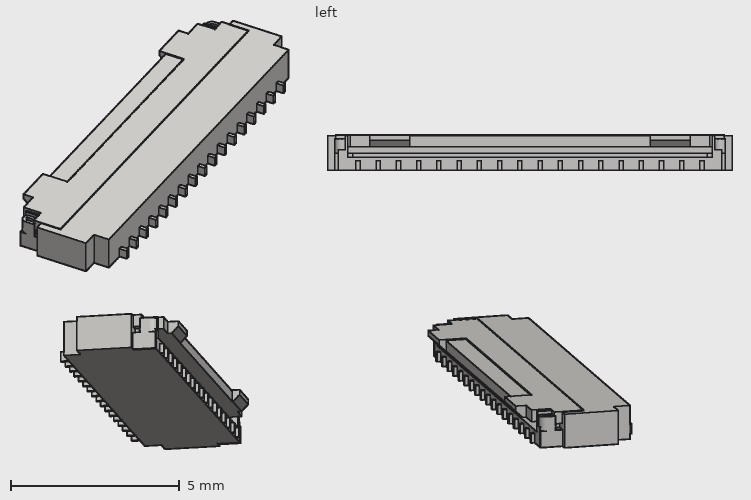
import cadquery as cq
import math


LENGTH = 12.0
HOUSING_FRONT = 0.47
EAR_FRONT = 1.15
EAR_REAR = 2.81
HOUSING_REAR = 3.31
HOUSING_TOP = 1.03
REAR_LENGTH = 11.02
FRONT_LENGTH = 11.59

FLAP_TOP = 1.05
FLAP_BOTTOM = 0.7
FLAP_LENGTH = 11.52
FLAP_SHOULDER = 0.9
FLAP_REAR = 1.81
FLAP_NOSE_FRONT = 0.32
FLAP_NOSE_LENGTH = 10.65
TAB_OUTER = 4.75
TAB_INNER = 3.56
TAB_BEVEL = 0.2
FINGER_FRONT = 0.22
FINGER_REAR = 0.83
FINGER_FLOOR = 1.02

MOUTH_FLOOR = 0.4
MOUTH_LENGTH = 10.8
THROAT_TOP = 0.5
THROAT_LENGTH = 10.51
SLOT_FRONT_DEPTH = 0.24
THROAT_DEPTH = 1.2

PITCH = 0.6
REAR_CONTACTS = 17
FRONT_CONTACTS = REAR_CONTACTS + 1
CONTACT_WIDTH = 0.12
CONTACT_HEIGHT = 0.29
CONTACT_FRONT = 0.36
CONTACT_REAR = 3.55

SHEET = 0.11
HOOK_WIDTH = 3 * SHEET
HOOK_TOP = 0.94
HOOK_BOTTOM = 0.61
OUTER_BEND = 0.18
INSIDE_BEND = OUTER_BEND - SHEET
PLATE_TOP = 0.5
OUTER_LEG_REAR = 0.94
INNER_LEG_REAR = 1.01
FITTING_OUTER = FRONT_LENGTH / 2
FITTING_INNER = FITTING_OUTER - HOOK_WIDTH


def block(x0, x1, y0, y1, z0, z1):
    """Box between two opposite corners."""
    return cq.Workplane("XY").box(x1 - x0, y1 - y0, z1 - z0, centered=False).translate((x0, y0, z0))


def centred_block(x0, x1, length, z0, z1):
    """Box that is symmetric about the middle of the connector."""
    return block(x0, x1, -length / 2, length / 2, z0, z1)


def make_shell():
    """Stepped housing block, wide ears in the middle and narrower at both ends of X."""
    front = centred_block(HOUSING_FRONT, EAR_FRONT, FRONT_LENGTH, 0, HOUSING_TOP)
    ears = centred_block(EAR_FRONT, EAR_REAR, LENGTH, 0, HOUSING_TOP)
    rear = centred_block(EAR_REAR, HOUSING_REAR, REAR_LENGTH, 0, HOUSING_TOP)
    return front.union(ears).union(rear)


def make_cable_opening():
    """Wide mouth under the flap, running back into a low slot that narrows to the throat."""
    mouth = centred_block(HOUSING_FRONT, EAR_FRONT, MOUTH_LENGTH, MOUTH_FLOOR, HOUSING_TOP)
    slot_front = centred_block(
        EAR_FRONT, EAR_FRONT + SLOT_FRONT_DEPTH, MOUTH_LENGTH, MOUTH_FLOOR, THROAT_TOP
    )
    throat = centred_block(
        EAR_FRONT, EAR_FRONT + THROAT_DEPTH, THROAT_LENGTH, MOUTH_FLOOR, THROAT_TOP
    )
    return mouth.union(slot_front).union(throat)


def make_corner_pocket():
    """Room around the fitting hook, and the side notch behind it, at the +Y end."""
    above_shelf = block(
        HOUSING_FRONT, INNER_LEG_REAR, FITTING_INNER, FITTING_OUTER, HOOK_BOTTOM, HOUSING_TOP
    )
    notch = block(OUTER_LEG_REAR, EAR_FRONT, FITTING_INNER, FITTING_OUTER, PLATE_TOP, HOUSING_TOP)
    side = block(
        HOUSING_FRONT, EAR_FRONT, FITTING_OUTER - SHEET, FITTING_OUTER, PLATE_TOP, HOUSING_TOP
    )
    return above_shelf.union(notch).union(side)


def make_grip_tab():
    """Front grip tab at the +Y end, bevelled underneath."""
    tab = block(0, FLAP_SHOULDER, TAB_INNER, TAB_OUTER, FLAP_BOTTOM, FLAP_TOP)
    return tab.faces("<X").edges("<Z").chamfer(TAB_BEVEL)


def make_flap():
    """Closed cover flap with a shallow finger recess between its two grip tabs."""
    body = centred_block(FLAP_SHOULDER, FLAP_REAR, FLAP_LENGTH, FLAP_BOTTOM, FLAP_TOP)
    nose = centred_block(FLAP_NOSE_FRONT, FLAP_SHOULDER, FLAP_NOSE_LENGTH, FLAP_BOTTOM, FLAP_TOP)
    lip = centred_block(FINGER_FRONT, FLAP_NOSE_FRONT, 2 * TAB_INNER, FLAP_BOTTOM, FLAP_TOP)
    tab = make_grip_tab()
    finger_recess = centred_block(
        FINGER_FRONT, FINGER_REAR, 2 * TAB_INNER, FINGER_FLOOR, FLAP_TOP
    )
    flap = body.union(nose).union(lip).cut(finger_recess)
    return flap.union(tab).union(tab.mirror("XZ"))


def add_contact_row(body, count, x0, x1):
    """Adds a row of contact feet that spans x0 to x1."""
    for index in range(count):
        y = (index - (count - 1) / 2) * PITCH
        foot = block(x0, x1, y - CONTACT_WIDTH / 2, y + CONTACT_WIDTH / 2, 0, CONTACT_HEIGHT)
        body = body.union(foot)
    return body


def make_hook():
    """U-shaped hook, open towards the rear, whose round front is cut off at the inner leg."""
    bend_x = HOUSING_FRONT + OUTER_BEND
    bend_y = FITTING_OUTER - OUTER_BEND
    inner_corner_x = bend_x - math.sqrt(OUTER_BEND**2 - (bend_y - FITTING_INNER) ** 2)
    outline = (
        cq.Workplane("XY", origin=(0, 0, PLATE_TOP))
        .moveTo(INNER_LEG_REAR, FITTING_OUTER)
        .lineTo(bend_x, FITTING_OUTER)
        .threePointArc((HOUSING_FRONT, bend_y), (inner_corner_x, FITTING_INNER))
        .lineTo(INNER_LEG_REAR, FITTING_INNER)
        .close()
        .extrude(HOOK_TOP - PLATE_TOP)
    )
    gap = block(
        HOUSING_FRONT + SHEET,
        INNER_LEG_REAR,
        FITTING_INNER + SHEET,
        FITTING_OUTER - SHEET,
        PLATE_TOP,
        HOOK_TOP,
    )
    gap = gap.edges("|Z and <X and >Y").fillet(INSIDE_BEND)
    under_hook = block(
        HOUSING_FRONT, INNER_LEG_REAR, FITTING_INNER, FITTING_OUTER - SHEET, PLATE_TOP, HOOK_BOTTOM
    )
    behind_outer_leg = block(
        OUTER_LEG_REAR, INNER_LEG_REAR, FITTING_OUTER - SHEET, FITTING_OUTER, PLATE_TOP, HOOK_TOP
    )
    return outline.cut(gap).cut(under_hook).cut(behind_outer_leg)


def make_fitting():
    """Hold-down fitting at the +Y end."""
    plate = block(HOUSING_FRONT, EAR_FRONT, FITTING_OUTER - SHEET, FITTING_OUTER, 0, PLATE_TOP)
    return plate.union(make_hook())


def make_housing(fittings):
    """Housing with its flap and contacts, recessed where the fittings sit."""
    pocket = make_corner_pocket()
    housing = make_shell().cut(make_cable_opening())
    housing = housing.cut(pocket).cut(pocket.mirror("XZ"))
    housing = housing.union(make_flap())
    housing = add_contact_row(housing, FRONT_CONTACTS, CONTACT_FRONT, HOUSING_FRONT)
    housing = add_contact_row(housing, REAR_CONTACTS, HOUSING_REAR, CONTACT_REAR)
    for fitting in fittings:
        housing = housing.cut(fitting)
    return housing


left_fitting = make_fitting()
fittings = [left_fitting, left_fitting.mirror("XZ")]
housing = make_housing(fittings)

result = cq.Compound.makeCompound([housing.val(), *[fitting.val() for fitting in fittings]])